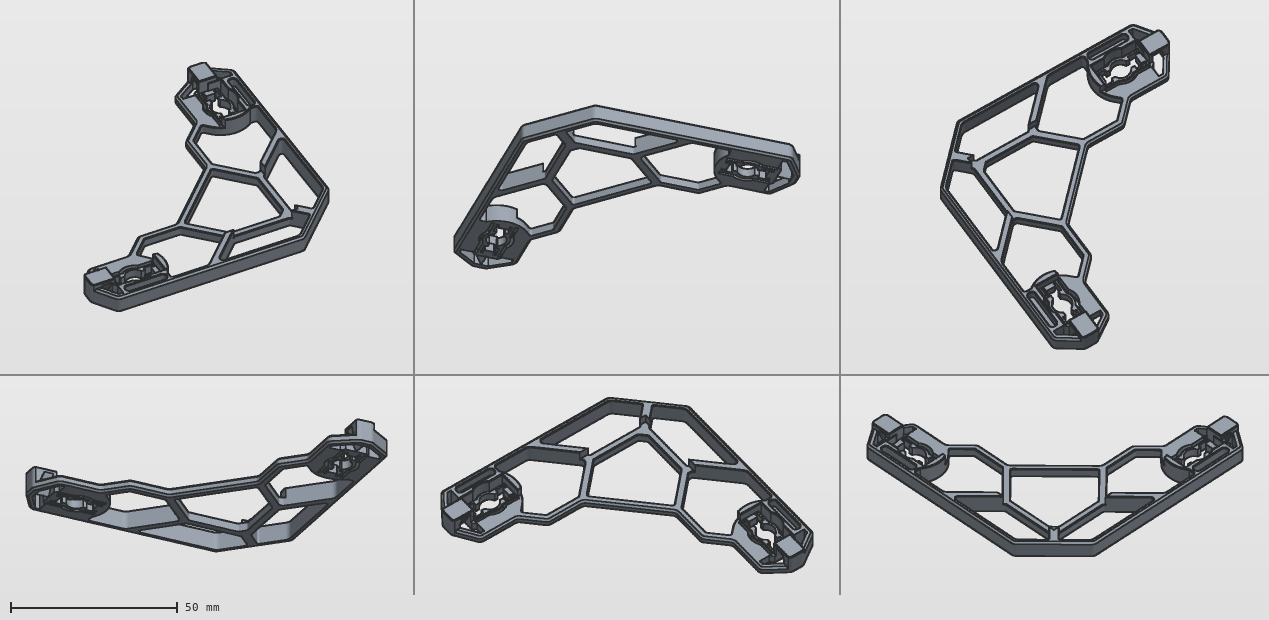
import cadquery as cq
import math

BASE_HEIGHT = 2.9
WALL_HEIGHT = 5.95
BLOCK_HEIGHT = 7.6
RIM_CHAMFER = 0.7
EDGE_CHAMFER = 0.25

SIZE = 85.0
WALL = 1.7
CORNER_BEVEL = 17.2
PAD_WIDTH = 20.0
PAD_RADIUS = PAD_WIDTH / 2
PAD_X = 16.0
PAD_Y = SIZE - PAD_RADIUS
PAD_LOW_Y = SIZE - PAD_WIDTH
PAD_EDGE_END = 18.9
LEDGE_Y = 58.3
LEDGE_START = PAD_EDGE_END + PAD_LOW_Y - LEDGE_Y
LEDGE_END = 38.5
NOSE_LENGTH = 5.3
NOSE_HALF_WIDTH = 2.2
OUTLINE_RADIUS = 2.1
MARGIN = 0.85

FRAME_OUTER = 71.8
FRAME_INNER = 69.5
FRAME_CORNER = 2.1
FRAME_CLEARANCE = 0.4
FRAME_KNEE_X = 48.2
LEDGE_WIDTH = 2.4
LOW_RIB_OFFSET = 20.4
LOW_RIB_WIDTH = 2.5
TALL_RIB_SUM = 121.4
TALL_RIB_WIDTH = 2.2
CORNER_RIB_WIDTH = 3.1
RIB_FOOT = 1.4
OPENING_RADIUS = 0.7
WIDE_RADIUS = 2.55

PAD_SHOULDER_X = 24.0
BLOCK_LENGTH = 7.7
BLOCK_WIDTH = 6.1
BLOCK_ROOF = 1.1
NOSE_WALL = 1.8
POST_FRONT_X = 6.55
POST_HALF_WIDTH = 3.6
POST_ROOT_HALF_WIDTH = 4.8
GUSSET_BOTTOM = 3.4
GUSSET_START_X = 2.3
GUSSET_END_X = 3.6

CHANNEL_START = 7.9
CHANNEL_END = 23.8
CHANNEL_WIDTH = 8.5
CHANNEL_RADIUS = 5.3
END_WALL_INNER_Y = 71.4
END_WALL_OUTER_Y = 71.9
PLATE_WIDTH = 6.6
PLATE_RADIUS = 4.2
BORE_RADIUS = 3.15
WINDOW_START = 8.3
WINDOW_END = 23.55
WINDOW_WIDTH = 4.8
WAIST_LENGTH = 8.25
WAIST_WIDTH = 2.7
TOOTH_WIDTH = 3.4
TOOTH_LENGTH = 1.45
TOOTH_CHAMFER = 0.3

POCKET_START = 9.2
POCKET_END = 22.8
POCKET_WIDTH = 2.4
POCKET_Y = 82.1
POCKET_RADIUS = 1.0

DIAGONAL = 1 / math.sqrt(2)


def swap(points):
    """Reflect points about the line y = x, reversed to keep one running direction."""
    return [(y, x) for x, y in reversed(points)]


def mirrored(body):
    """Reflected copy of a body about the plane y = x."""
    return body.rotate((0, 0, 0), (0, 0, 1), 90).mirror("YZ")


def prism(points, height):
    return cq.Workplane("XY").polyline(points).close().extrude(height)


def rounded_prism(points, height, wide_corner):
    """Prism with small corner rounds and one wide round at the given corner."""
    solid = prism(points, height)
    selector = cq.NearestToPointSelector((*wide_corner, height / 2))
    wide_edge = solid.edges("|Z").edges(selector).val()
    small_edges = [edge for edge in solid.edges("|Z").vals() if not edge.isSame(wide_edge)]
    solid = solid.newObject(small_edges).fillet(OPENING_RADIUS)
    return solid.edges("|Z").edges(selector).fillet(WIDE_RADIUS)


def block(x_start, x_end, y_center, width, height, bottom=0.0):
    return (
        cq.Workplane("XY", origin=((x_start + x_end) / 2, y_center, bottom))
        .rect(x_end - x_start, width)
        .extrude(height - bottom)
    )


def disc(radius, height):
    return cq.Workplane("XY", origin=(PAD_X, PAD_Y, 0)).circle(radius).extrude(height)


def channel(width, radius, height):
    """Straight strip along the pad, widened by a circle at the pad centre."""
    return block(CHANNEL_START, CHANNEL_END, PAD_Y, width, height).union(disc(radius, height))


def slab(height):
    """Whole outline as a solid with every outer corner rounded."""
    half = [
        (LEDGE_END, LEDGE_Y),
        (LEDGE_START, LEDGE_Y),
        (PAD_EDGE_END, PAD_LOW_Y),
        (NOSE_LENGTH, PAD_LOW_Y),
        (0, PAD_Y - NOSE_HALF_WIDTH),
        (0, PAD_Y + NOSE_HALF_WIDTH),
        (NOSE_LENGTH, SIZE),
        (SIZE - CORNER_BEVEL, SIZE),
    ]
    return prism(half + swap(half), height).edges("|Z").fillet(OUTLINE_RADIUS)


def pad_side_opening():
    """Opening between the pad, the outer wall, the tall rib and the low rib."""
    inner = SIZE - WALL
    rib_left = TALL_RIB_SUM - TALL_RIB_WIDTH * DIAGONAL
    rib_upper = LOW_RIB_OFFSET + LOW_RIB_WIDTH * DIAGONAL
    ledge_top = LEDGE_Y + LEDGE_WIDTH
    ledge_start = LEDGE_START + LEDGE_WIDTH * math.tan(math.pi / 8)
    tangent_x = PAD_X + PAD_RADIUS * DIAGONAL
    tangent_y = PAD_Y - PAD_RADIUS * DIAGONAL
    notch_x = (ledge_start + ledge_top + tangent_x - tangent_y) / 2
    rib_corner = (rib_left - inner, inner)
    points = [
        (PAD_SHOULDER_X, inner),
        rib_corner,
        (FRAME_KNEE_X, rib_left - FRAME_KNEE_X),
        (FRAME_KNEE_X, FRAME_KNEE_X + rib_upper),
        (ledge_top - rib_upper, ledge_top),
        (ledge_start, ledge_top),
        (notch_x, notch_x + tangent_y - tangent_x),
        (tangent_x, tangent_y),
        (PAD_SHOULDER_X, PAD_Y),
    ]
    return rounded_prism(points, WALL_HEIGHT, rib_corner).cut(disc(PAD_RADIUS, WALL_HEIGHT))


def long_opening():
    """Opening between the outer wall, the tall rib, the frame and the corner rib."""
    inner = SIZE - WALL
    rib_right = TALL_RIB_SUM + TALL_RIB_WIDTH * DIAGONAL
    bevel_sum = 2 * SIZE - CORNER_BEVEL - WALL / DIAGONAL
    corner_gap = CORNER_RIB_WIDTH * DIAGONAL
    rib_end_x = (bevel_sum - corner_gap) / 2
    foot_y = inner - RIB_FOOT
    bevel_corner = (bevel_sum - inner, inner)
    points = [
        (rib_right - foot_y, inner),
        bevel_corner,
        (rib_end_x, bevel_sum - rib_end_x),
        (FRAME_OUTER - corner_gap, FRAME_OUTER),
        (rib_right - FRAME_OUTER, FRAME_OUTER),
        (rib_right - foot_y, foot_y),
    ]
    return rounded_prism(points, WALL_HEIGHT, bevel_corner)


def center_opening():
    rib_lower = LOW_RIB_OFFSET - LOW_RIB_WIDTH * DIAGONAL
    edge_sum = LEDGE_END + LEDGE_Y + LEDGE_WIDTH / DIAGONAL
    tip_x = (edge_sum - rib_lower) / 2
    half = [
        (tip_x, tip_x + rib_lower),
        (FRAME_INNER - rib_lower, FRAME_INNER),
        (FRAME_INNER - FRAME_CORNER, FRAME_INNER),
    ]
    return prism(half + swap(half), WALL_HEIGHT).edges("|Z").fillet(OPENING_RADIUS)


def frame_openings():
    side = pad_side_opening().union(long_opening())
    return side.union(mirrored(side)).union(center_opening())


def pocket():
    slot = block(POCKET_START, POCKET_END, POCKET_Y, POCKET_WIDTH, WALL_HEIGHT, BASE_HEIGHT)
    return slot.edges("|Z").fillet(POCKET_RADIUS)


def break_opening_edges(level):
    """Chamfer the upper edge of every opening in the top face."""
    wires = level.faces(">Z").val().innerWires()
    edges = [edge for wire in wires for edge in wire.Edges()]
    return level.newObject(edges).chamfer(EDGE_CHAMFER)


def low_level():
    level = slab(BASE_HEIGHT).faces("<Z or >Z").chamfer(RIM_CHAMFER)
    return break_opening_edges(level.cut(frame_openings()))


def tall_level():
    """Outer walls, tall ribs and pad walls; everything towards the origin is cut away."""
    level = slab(WALL_HEIGHT).faces("<Z or >Z").chamfer(RIM_CHAMFER)
    recesses = channel(CHANNEL_WIDTH, CHANNEL_RADIUS, WALL_HEIGHT).union(pocket())
    level = level.cut(frame_openings()).cut(recesses).cut(mirrored(recesses))
    level = break_opening_edges(level)
    frame_edge = FRAME_OUTER + FRAME_CLEARANCE
    half_low_area = [
        (-MARGIN, -MARGIN),
        (-MARGIN, PAD_Y),
        (CHANNEL_END, PAD_Y),
        (CHANNEL_END, END_WALL_INNER_Y),
        (PAD_X + PAD_RADIUS, END_WALL_OUTER_Y),
        (PAD_X + PAD_RADIUS, frame_edge),
        (frame_edge, frame_edge),
    ]
    return level.cut(prism(half_low_area + swap(half_low_area)[1:-1], WALL_HEIGHT))


def block_space():
    return block(-MARGIN, BLOCK_LENGTH, PAD_Y, BLOCK_WIDTH, BLOCK_HEIGHT)


def raised_block():
    outline = slab(BLOCK_HEIGHT).faces("<Z").chamfer(RIM_CHAMFER)
    return outline.intersect(block_space()).faces(">Z").chamfer(EDGE_CHAMFER)


def nose_opening():
    """Openings on both sides of a wedge that hangs under the raised block."""
    slope = NOSE_LENGTH / (PAD_RADIUS - NOSE_HALF_WIDTH)
    front_x = NOSE_WALL * math.hypot(1, slope)
    half_width = PAD_RADIUS - WALL
    upper = [
        (front_x, NOSE_HALF_WIDTH),
        (front_x + (half_width - NOSE_HALF_WIDTH) * slope, half_width),
        (BLOCK_LENGTH, half_width),
        (BLOCK_LENGTH, POST_ROOT_HALF_WIDTH),
        (POST_FRONT_X, POST_HALF_WIDTH),
    ]
    lower = [(x, -y) for x, y in reversed(upper)]
    roof = BLOCK_HEIGHT - BLOCK_ROOF
    wedge_section = [
        (PAD_Y - BLOCK_WIDTH / 2, roof),
        (PAD_Y + BLOCK_WIDTH / 2, roof),
        (PAD_Y, 0),
    ]
    wedge = cq.Workplane("YZ").polyline(wedge_section).close().extrude(BLOCK_LENGTH)
    gusset_section = [
        (0, GUSSET_BOTTOM),
        (GUSSET_START_X, GUSSET_BOTTOM),
        (GUSSET_END_X, roof),
        (0, roof),
    ]
    gusset = (
        cq.Workplane("XZ", origin=(0, PAD_Y, 0))
        .polyline(gusset_section)
        .close()
        .extrude(BLOCK_WIDTH / 2, both=True)
    )
    opening = prism([(x, PAD_Y + y) for x, y in upper + lower], roof)
    return opening.cut(wedge).cut(gusset)


def clip_plate():
    """Plate with a central bore, a stepped window and one tooth at each end."""
    plate = channel(PLATE_WIDTH, PLATE_RADIUS, BASE_HEIGHT)
    plate = plate.faces(">Z").edges("|X or %CIRCLE").chamfer(EDGE_CHAMFER)
    window = block(WINDOW_START, WINDOW_END, PAD_Y, WINDOW_WIDTH, BASE_HEIGHT)
    waist_start = PAD_X - WAIST_LENGTH / 2
    waist = block(waist_start, waist_start + WAIST_LENGTH, PAD_Y, WINDOW_WIDTH, BASE_HEIGHT)
    passage = block(WINDOW_START, WINDOW_END, PAD_Y, WAIST_WIDTH, BASE_HEIGHT)
    plate = plate.cut(disc(BORE_RADIUS, BASE_HEIGHT)).cut(window.cut(waist)).cut(passage)
    front_tooth = block(CHANNEL_START, WINDOW_START + TOOTH_LENGTH, PAD_Y, TOOTH_WIDTH, BASE_HEIGHT)
    front_tooth = front_tooth.faces(">X").edges("|Z").chamfer(TOOTH_CHAMFER)
    rear_tooth = block(WINDOW_END - TOOTH_LENGTH, CHANNEL_END, PAD_Y, TOOTH_WIDTH, BASE_HEIGHT)
    rear_tooth = rear_tooth.faces("<X").edges("|Z").chamfer(TOOTH_CHAMFER)
    return plate.union(front_tooth).union(rear_tooth)


pad_block = raised_block()
pad_cut = nose_opening().union(channel(CHANNEL_WIDTH, CHANNEL_RADIUS, WALL_HEIGHT))
pad_plate = clip_plate()

result = low_level().union(tall_level())
result = result.cut(block_space()).cut(mirrored(block_space()))
result = result.union(pad_block).union(mirrored(pad_block))
result = result.cut(pad_cut).cut(mirrored(pad_cut))
result = result.union(pad_plate).union(mirrored(pad_plate))